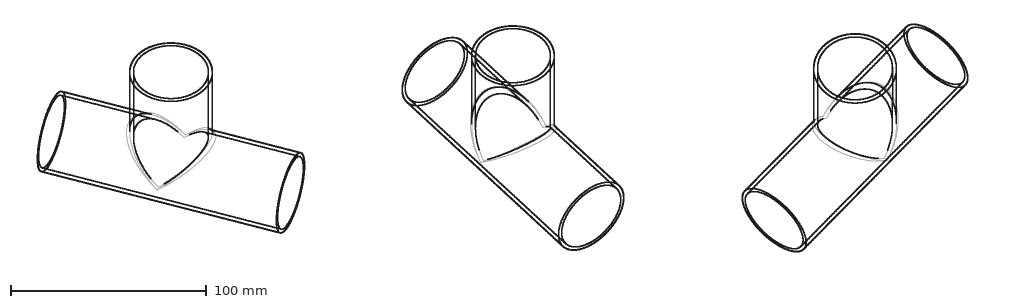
import cadquery as cq
import math

run_length = 130.0
branch_height = 65.0
outer_diameter = 42.4
bore_diameter = 38.4
fillet_radius = 2.0
seam_overlap = 0.001

outer_radius = outer_diameter / 2
center_radius = outer_radius + fillet_radius - seam_overlap


def run_cylinder(diameter):
    """Cylinder along X, centred on the origin."""
    return cq.Workplane("YZ").circle(diameter / 2).extrude(run_length / 2, both=True)


def branch_cylinder(diameter):
    """Cylinder rising from the run axis to the branch mouth."""
    return cq.Workplane("XY").circle(diameter / 2).extrude(branch_height)


def mitre_fillet():
    """Concave fillet on the +X mitre curve, tapering to nothing at the two sides of the tee.

    A ball rolling in the corner touches each pipe along a plane curve, so the
    fillet is a wedge between those two planes with the path of the ball removed.
    """
    wedge_outline = [
        (0, 0),
        (center_radius, outer_radius),
        (center_radius, center_radius),
        (outer_radius, center_radius),
    ]
    wedge = cq.Workplane("XZ").polyline(wedge_outline).close().extrude(center_radius, both=True)
    wedge = wedge.intersect(run_cylinder(2 * center_radius))
    wedge = wedge.intersect(branch_cylinder(2 * center_radius))

    mitre_plane = cq.Plane(origin=(0, 0, 0), xDir=(0, 1, 0), normal=(-1, 0, 1))
    center_line = cq.Workplane(mitre_plane).ellipse(center_radius, math.sqrt(2) * center_radius)
    section_plane = cq.Plane(origin=(0, center_radius, 0), xDir=(0, 1, 0), normal=(1, 0, 1))
    ball_path = cq.Workplane(section_plane).circle(fillet_radius).sweep(center_line)
    return wedge.cut(ball_path)


fillet = mitre_fillet()
body = run_cylinder(outer_diameter).union(branch_cylinder(outer_diameter))
body = body.union(fillet).union(fillet.mirror("YZ"))

result = body.cut(run_cylinder(bore_diameter)).cut(branch_cylinder(bore_diameter))